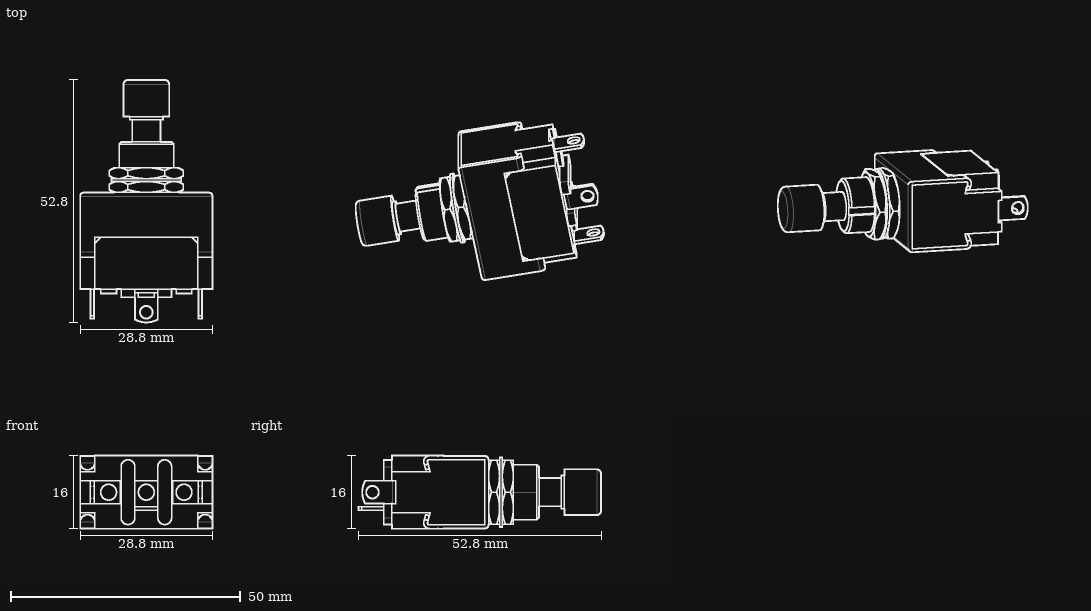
import cadquery as cq
import math


width = 28.8
base_height = 16.0
base_rear = -21.0
sheet = 0.8

frame_height = 15.8
edge_radius = 0.79
window_width = 22.4
window_front = -9.7
tab_bend_y = -12.9
tab_inner_radius = 0.4
tab_lean = 15.0
tab_leg_length = 1.57
tab_tip_rise = 1.1

bushing_radius = 6.0
bushing_end = 11.0
bushing_chamfer = 0.5
keyway_width = 1.75
keyway_depth = 1.0
plunger_radius = 3.1
collar_radius = 3.65
collar_start = 15.8
cap_radius = 5.0
cap_start = 16.5
cap_end = 24.5
cap_edge_radius = 1.0

nut_across_flats = 14.0
nut_thickness = 2.4
nut_bevel_angle = 30.0
washer_radius = 7.6
washer_thickness = 0.6

shoulder_height = 9.0
block_corner_chamfer = 1.35
rib_width = 3.0
rib_length = 14.1
rib_height = 1.8
rib_spacing = 8.0

terminal_width = 5.0
terminal_length = 7.3
blade_offset = 3.95
foot_reach = 2.5
blade_tip_radius = 5.0
eyelet_diameter = 2.7
eyelet_from_tip = 2.25
rivet_radius = 1.72
rivet_height = 1.0
side_rivet_x = 8.2

half_width = width / 2
frame_top = frame_height / 2
frame_inner_top = frame_top - sheet
tab_outer_radius = tab_inner_radius + sheet
tab_bend_z = frame_inner_top - tab_inner_radius
tab_width = (width - window_width) / 2
tab_x = (width + window_width) / 4
lean_sin = math.sin(math.radians(tab_lean))
lean_cos = math.cos(math.radians(tab_lean))
lean_tan = lean_sin / lean_cos


def box(x_range, y_range, z_range):
    """Box spanning the given ranges."""
    sizes = [high - low for low, high in (x_range, y_range, z_range)]
    corner = (x_range[0], y_range[0], z_range[0])
    return cq.Workplane("XY").box(*sizes, centered=False).translate(corner)


def cylinder(radius, y_start, y_end):
    """Cylinder on the actuator axis."""
    disc = cq.Workplane("XZ", origin=(0, y_start, 0)).circle(radius)
    return disc.extrude(y_start - y_end)


def bend_point(radius, degrees):
    """(Y, Z) point on the tab bend, measured from +Z towards -Y."""
    angle = math.radians(degrees)
    return (tab_bend_y - radius * math.sin(angle), tab_bend_z + radius * math.cos(angle))


bend_end = 90 + tab_lean


def locking_tab():
    """Upper right tab: a bend past square followed by a round-tipped leg."""
    bend = (
        cq.Workplane("YZ", origin=(tab_x - tab_width / 2, 0, 0))
        .moveTo(*bend_point(tab_outer_radius, 0))
        .threePointArc(bend_point(tab_outer_radius, bend_end / 2), bend_point(tab_outer_radius, bend_end))
        .lineTo(*bend_point(tab_inner_radius, bend_end))
        .threePointArc(bend_point(tab_inner_radius, bend_end / 2), bend_point(tab_inner_radius, 0))
        .close()
        .extrude(tab_width)
    )
    leg_plane = cq.Plane(
        origin=(tab_x, *bend_point(tab_inner_radius, bend_end)),
        xDir=(1, 0, 0),
        normal=(0, -lean_cos, -lean_sin),
    )
    leg_side = tab_leg_length - tab_tip_rise
    leg = (
        cq.Workplane(leg_plane)
        .moveTo(-tab_width / 2, 0)
        .lineTo(-tab_width / 2, -leg_side)
        .threePointArc((0, -tab_leg_length), (tab_width / 2, -leg_side))
        .lineTo(tab_width / 2, 0)
        .close()
        .extrude(sheet)
    )
    return bend.union(leg)


def sheet_frame():
    """Channel around the base, opened by the windows and closed by four tabs."""
    x_range = (-half_width, half_width)
    channel = box(x_range, (tab_bend_y, 0), (-frame_top, frame_top))
    channel = channel.faces(">Y").edges().fillet(edge_radius)
    channel = channel.cut(box(x_range, (tab_bend_y, -sheet), (-frame_inner_top, frame_inner_top)))
    window_x = (-window_width / 2, window_width / 2)
    channel = channel.cut(box(window_x, (tab_bend_y, window_front), (-frame_top, frame_top)))
    right_tab = locking_tab()
    for tab in (right_tab, right_tab.mirror("YZ")):
        channel = channel.union(tab).union(tab.mirror("XY"))
    return channel


def bushing():
    """Mounting bushing with a keyway on its -X side."""
    barrel = cylinder(bushing_radius, 0, bushing_end)
    barrel = barrel.faces(">Y").chamfer(bushing_chamfer)
    keyway = box(
        (-bushing_radius, keyway_depth - bushing_radius),
        (0, bushing_end),
        (-keyway_width / 2, keyway_width / 2),
    )
    return barrel.cut(keyway)


def button():
    """Plunger, collar and cap."""
    cap = cylinder(cap_radius, cap_start, cap_end).faces(">Y").edges().fillet(cap_edge_radius)
    collar = cylinder(collar_radius, collar_start, cap_start)
    return cylinder(plunger_radius, bushing_end, collar_start).union(collar).union(cap)


frame = sheet_frame().union(bushing()).union(button())


def hex_nut(y_start):
    """Hexagon nut with both ends bevelled, flats facing +Z and -Z."""
    y_end = y_start + nut_thickness
    corner_radius = nut_across_flats / 2 / math.cos(math.pi / 6)
    flat_radius = nut_across_flats / 2
    bevel = (corner_radius - flat_radius) * math.tan(math.radians(nut_bevel_angle))
    blank = cq.Workplane("XZ", origin=(0, y_start, 0)).polygon(6, 2 * corner_radius).extrude(-nut_thickness)
    envelope = (
        cq.Workplane("XY")
        .polyline([
            (bushing_radius, y_start),
            (flat_radius, y_start),
            (corner_radius, y_start + bevel),
            (corner_radius, y_end - bevel),
            (flat_radius, y_end),
            (bushing_radius, y_end),
        ])
        .close()
        .revolve(360, (0, 0, 0), (0, 1, 0))
    )
    return blank.intersect(envelope)


washer_start = nut_thickness
washer_end = washer_start + washer_thickness
nuts = [hex_nut(y_start) for y_start in (0, washer_end)]
washer = cylinder(washer_radius, washer_start, washer_end).cut(
    cylinder(bushing_radius, washer_start, washer_end)
)


def base_core():
    """Full-width core; its upper and lower notches follow the locking tabs."""
    shoulder = shoulder_height / 2
    wall_top_y, wall_top_z = bend_point(tab_inner_radius, bend_end)
    notch_foot_y = wall_top_y + (wall_top_z - shoulder) * lean_tan
    upper_half = (
        cq.Workplane("YZ", origin=(-half_width, 0, 0))
        .moveTo(-sheet, 0)
        .lineTo(-sheet, frame_inner_top)
        .lineTo(tab_bend_y, frame_inner_top)
        .threePointArc(bend_point(tab_inner_radius, bend_end / 2), (wall_top_y, wall_top_z))
        .lineTo(notch_foot_y, shoulder)
        .lineTo(base_rear, shoulder)
        .lineTo(base_rear, 0)
        .close()
        .extrude(width)
    )
    return upper_half.union(upper_half.mirror("XY"))


def base_block():
    """Full-height block that fills the frame windows."""
    block = box(
        (-window_width / 2, window_width / 2),
        (base_rear, window_front),
        (-base_height / 2, base_height / 2),
    )
    return block.edges("|Z and >Y").chamfer(block_corner_chamfer)


def barrier_rib(x):
    """Round-ended rib between neighbouring terminals."""
    outline = cq.Workplane("XZ", origin=(x, base_rear, 0)).slot2D(rib_length, rib_width, 90)
    return outline.extrude(rib_height)


foot_end_x = side_rivet_x - foot_reach
side_recess = box(
    (foot_end_x, half_width),
    (base_rear, base_rear + sheet),
    (-terminal_width / 2, terminal_width / 2),
)
base = base_core().union(base_block())
base = base.cut(side_recess).cut(side_recess.mirror("YZ"))
for rib_x in (-rib_spacing / 2, rib_spacing / 2):
    base = base.union(barrier_rib(rib_x))


def terminal():
    """L-shaped terminal with its rivet on the actuator axis, foot on Y = 0, blade at +X."""
    blade_x = blade_offset - sheet
    half = terminal_width / 2
    tip_side = terminal_length - blade_tip_radius + math.sqrt(blade_tip_radius**2 - half**2)
    foot = box((-foot_reach, blade_offset), (-sheet, 0), (-half, half))
    blade = (
        cq.Workplane("YZ", origin=(blade_x, 0, 0))
        .moveTo(0, -half)
        .lineTo(-tip_side, -half)
        .threePointArc((-terminal_length, 0), (-tip_side, half))
        .lineTo(0, half)
        .close()
        .extrude(sheet)
    )
    eyelet = (
        cq.Workplane("YZ", origin=(blade_x, eyelet_from_tip - terminal_length, 0))
        .circle(eyelet_diameter / 2)
        .extrude(sheet)
    )
    bent_strip = foot.union(blade.cut(eyelet))
    bent_strip = bent_strip.edges("|Z and >X and >Y").fillet(edge_radius)
    return bent_strip.union(cylinder(rivet_radius, -sheet - rivet_height, -sheet))


recess_floor = base_rear + sheet
placements = [
    (side_rivet_x, recess_floor, 0),
    (-side_rivet_x, recess_floor, 180),
    (0, base_rear, 90),
]
terminals = [
    terminal().rotate((0, 0, 0), (0, 1, 0), turn).translate((x, y, 0))
    for x, y, turn in placements
]

result = cq.Compound.makeCompound([
    frame.val(),
    base.val(),
    *[nut.val() for nut in nuts],
    washer.val(),
    *[part.val() for part in terminals],
])